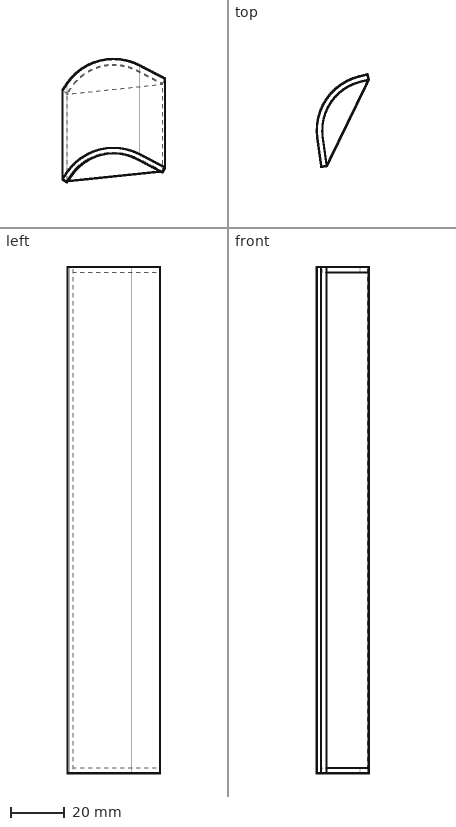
import cadquery as cq
import math

LENGTH = 188.0
DEPTH = 34.4
WIDTH = 19.4
WALL = 2.0
BEND_RADIUS = 20.7
END_RECESS = 2.0
FOOT_X = 1.7
LOWER_LEAN = math.radians(8)
UPPER_SLOPE = math.radians(14)

foot = cq.Vector(FOOT_X, 0)
tip = cq.Vector(WIDTH - WALL * math.sin(UPPER_SLOPE), DEPTH)
lower_inward = cq.Vector(math.cos(LOWER_LEAN), math.sin(LOWER_LEAN))
upper_inward = cq.Vector(math.sin(UPPER_SLOPE), -math.cos(UPPER_SLOPE))

inner_foot = foot + lower_inward * WALL
inner_tip = tip + upper_inward * WALL


def flank_corner(lower_end, upper_end):
    """Point where the lower and upper flank lines meet."""
    lean = math.tan(LOWER_LEAN)
    slope = math.tan(UPPER_SLOPE)
    x_on_lower_at_upper_end = lower_end.x - lean * (upper_end.y - lower_end.y)
    rise = slope * (x_on_lower_at_upper_end - upper_end.x) / (1 + lean * slope)
    y = upper_end.y + rise
    return cq.Vector(lower_end.x - lean * (y - lower_end.y), y)


def rounded_prism(points, corner, radius, height):
    """Upright prism with the edge at the flank corner rounded."""
    prism = cq.Workplane("XY").polyline([(p.x, p.y) for p in points]).close().extrude(height)
    corner_edge = cq.selectors.NearestToPointSelector((corner.x, corner.y, height / 2))
    return prism.edges("|Z").edges(corner_edge).fillet(radius)


outer_corner = flank_corner(foot, tip)
body = rounded_prism(
    [foot, outer_corner, tip, inner_tip, inner_foot], outer_corner, BEND_RADIUS, LENGTH
)

inner_corner = flank_corner(inner_foot, inner_tip)
recess = rounded_prism(
    [inner_foot, inner_corner, inner_tip], inner_corner, BEND_RADIUS - WALL, END_RECESS
)
result = body
for bottom in (0, LENGTH - END_RECESS):
    result = result.cut(recess.translate((0, 0, bottom)))